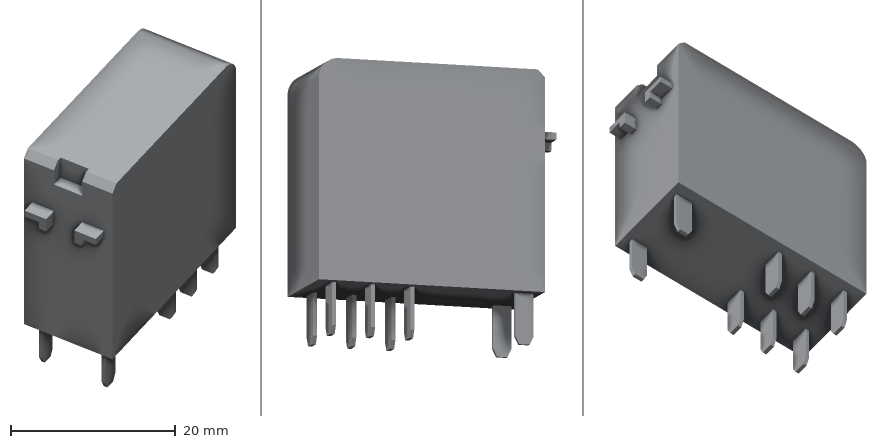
import cadquery as cq

width = 12.6
hook_length = 1.82
depth = 30.6 - hook_length
total_height = 33.7
pin_length = 6.3
base_height = 3.7
cover_bottom = pin_length + base_height
back_edge_radius = 2.5
front_chamfer = 0.95

notch_width = 4.0
notch_depth = 1.5
notch_height = 3.2

hook_width = 3.05
hook_height = 1.95
hook_stem = 1.0
hook_arm = 0.9
hook_top = total_height - 7.4
hook_inner = notch_width / 2

pin_thickness = 0.5
rear_pin_width = 2.55
rear_pin_x = 3.77
rear_pin_pitch = 5.0
rear_pin_count = 3
last_pin_from_back = 2.3
front_pin_width = 2.33
front_pin_x = 4.45
front_pin_y = 2.12
tip_inset = 0.5
tip_height = 1.0

SIDES = (-1, 1)


def make_hook(side):
    """L-shaped hook with its stem inward and its arm pointing to the given side."""
    outer = hook_inner + hook_width
    stem_outer = hook_inner + hook_stem
    bottom = hook_top - hook_height
    arm_bottom = hook_top - hook_arm
    outline = [
        (side * hook_inner, hook_top),
        (side * outer, hook_top),
        (side * outer, arm_bottom),
        (side * stem_outer, arm_bottom),
        (side * stem_outer, bottom),
        (side * hook_inner, bottom),
    ]
    return cq.Workplane("XZ").polyline(outline).close().extrude(hook_length)


def make_cover():
    """Solid cover with a rounded back edge, chamfered front edge, notch and two hooks."""
    cover = (
        cq.Workplane("XY", origin=(0, depth / 2, cover_bottom))
        .box(width, depth, total_height - cover_bottom, centered=(True, True, False))
        .edges(">Y and >Z").fillet(back_edge_radius)
        .edges("<Y and >Z").chamfer(front_chamfer)
    )
    notch = cq.Workplane("XY", origin=(0, 0, total_height - notch_height)).box(
        notch_width, notch_depth, notch_height, centered=(True, False, False)
    )
    cover = cover.cut(notch)
    for side in SIDES:
        cover = cover.union(make_hook(side))
    return cover


def make_base():
    """Plain plate closing the underside of the cover."""
    return cq.Workplane("XY", origin=(0, 0, pin_length)).box(
        width, depth, base_height, centered=(True, False, False)
    )


def make_pin(blade_width):
    """Flat blade in the XZ plane, centred on the Z axis, with both tip corners cut off."""
    half_width = blade_width / 2
    half_tip = half_width - tip_inset
    outline = [
        (-half_width, pin_length),
        (-half_width, tip_height),
        (-half_tip, 0),
        (half_tip, 0),
        (half_width, tip_height),
        (half_width, pin_length),
    ]
    return cq.Workplane("XZ").polyline(outline).close().extrude(pin_thickness / 2, both=True)


def make_rear_pin(side, index):
    """Rear pin lying across the housing, counted from the back."""
    y = depth - last_pin_from_back - index * rear_pin_pitch
    return make_pin(rear_pin_width).translate((side * rear_pin_x, y, 0))


def make_front_pin(side):
    """Front pin turned to lie along the housing."""
    blade = make_pin(front_pin_width).rotate((0, 0, 0), (0, 0, 1), 90)
    return blade.translate((side * front_pin_x, front_pin_y, 0))


cover = make_cover()
base = make_base()
rear_pins = [make_rear_pin(side, index) for side in SIDES for index in range(rear_pin_count)]
front_pins = [make_front_pin(side) for side in SIDES]

result = cq.Compound.makeCompound(
    [cover.val(), base.val(), *[pin.val() for pin in rear_pins + front_pins]]
)